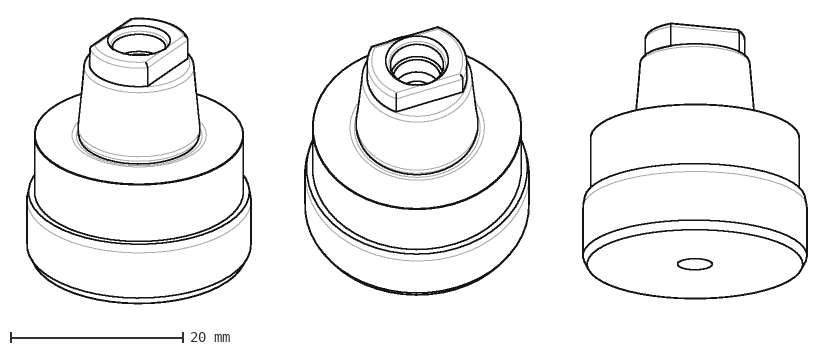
import cadquery as cq

total_height = 27.95
flange_top = 8.0
collar_top = 15.5
tip_height = 2.95
boss_top = total_height - tip_height

flange_radius = 13.01
flange_edge_height = 1.0
flange_base_inset = 0.5
flange_top_inset = 0.2
collar_radius = 12.13
collar_chamfer = 0.05

relief_outer_radius = 7.8
relief_inner_radius = 7.3
relief_depth = 0.1
foot_radius = 6.93
foot_top = 15.88
boss_base_radius = 7.07
taper_start = 16.45
boss_top_radius = 6.35
edge_fillet = 0.5

tip_radius = 5.79
tip_width = 8.1

mouth_radius = 3.63
mouth_depth = 0.5
mouth_floor_radius = 3.27
bore_radius = 3.07
bore_start_depth = 0.85
bore_end_depth = 3.1
seat_radius = 2.77
seat_depth = 3.3
funnel_start_depth = 5.6
through_radius = 2.0
funnel_end_depth = funnel_start_depth + seat_radius - through_radius


def revolve_profile(points):
    """Revolve a radius-height outline around the Z axis."""
    return cq.Workplane("XZ").polyline(points).close().revolve(360, (0, 0), (0, 1))


def make_base():
    relief_floor = collar_top - relief_depth
    return revolve_profile([
        (0, 0),
        (flange_radius - flange_base_inset, 0),
        (flange_radius, flange_edge_height),
        (flange_radius, flange_top - flange_edge_height),
        (flange_radius - flange_top_inset, flange_top),
        (collar_radius, flange_top),
        (collar_radius, collar_top - collar_chamfer),
        (collar_radius - collar_chamfer, collar_top),
        (relief_outer_radius, collar_top),
        (relief_inner_radius, relief_floor),
        (0, relief_floor),
    ])


def make_boss():
    foot_bottom = collar_top - relief_depth
    boss = revolve_profile([
        (0, foot_bottom),
        (foot_radius, foot_bottom),
        (boss_base_radius, foot_top),
        (boss_base_radius, taper_start),
        (boss_top_radius, boss_top),
        (0, boss_top),
    ])
    return boss.faces(">Z").edges().fillet(edge_fillet)


def make_tip():
    tip = cq.Workplane("XY").workplane(offset=boss_top).circle(tip_radius).extrude(tip_height)
    flats = cq.Workplane("XY").box(tip_width, 2 * tip_radius, total_height, centered=(True, True, False))
    return tip.intersect(flats).faces(">Z").edges().fillet(edge_fillet)


def make_bore():
    return revolve_profile([
        (0, total_height),
        (mouth_radius, total_height),
        (mouth_floor_radius, total_height - mouth_depth),
        (bore_radius, total_height - bore_start_depth),
        (bore_radius, total_height - bore_end_depth),
        (seat_radius, total_height - seat_depth),
        (seat_radius, total_height - funnel_start_depth),
        (through_radius, total_height - funnel_end_depth),
        (through_radius, 0),
        (0, 0),
    ])


result = make_base().union(make_boss()).union(make_tip()).cut(make_bore())